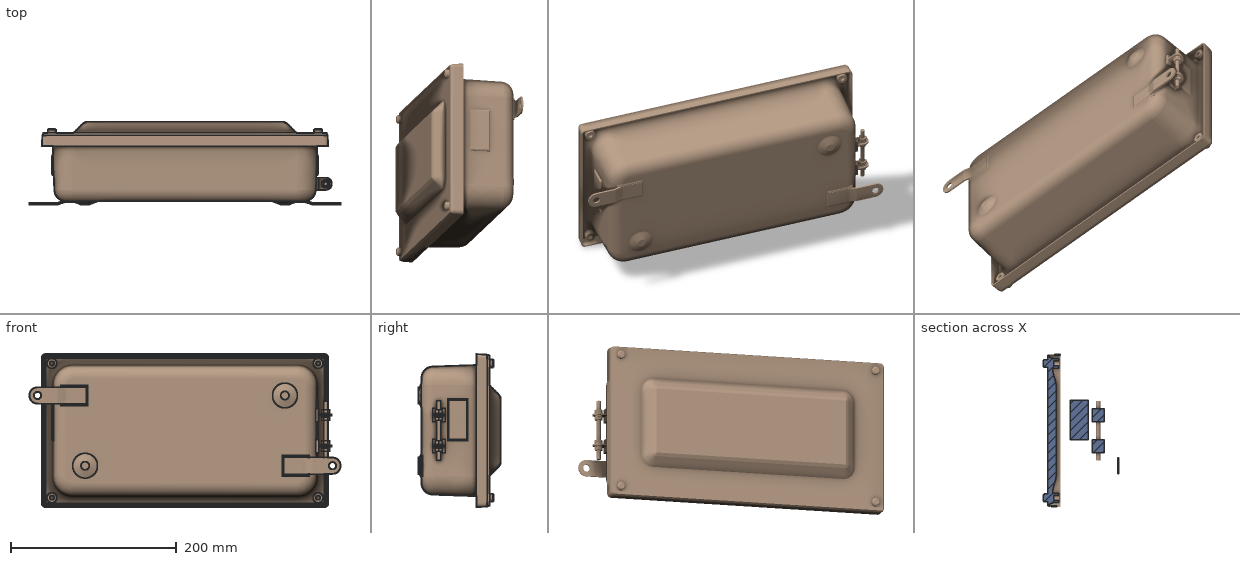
import cadquery as cq
import math

lid_length, lid_width = 346.0, 185.0
lid_front_y = 16.0
lid_corner_radius = 5.0
lid_draft = 3.0
lid_bevel_depth, lid_bevel_inset = 3.5, 1.3

rim_thickness = 1.6
recess_depth = 13.0
recess_draft = 2.0
recess_corner_radius = 4.0

flange_back_y = 9.0
flange_inset = 5.0
flange_draft = 20.0
flange_corner_radius = 2.0

panel_length, panel_width = 269.0, 109.0
panel_corner_radius = 15.0
panel_front_y = 29.5
panel_slope = 45.0
panel_edge_depth, panel_edge_inset = 2.5, 4.0

finger_notch_width = 106.0
finger_notch_height = 5.2
finger_notch_depth = 0.2

body_length, body_width = 319.6, 158.6
body_corner_radius = 24.0
body_draft = 2.0
body_back_y = -66.6
body_back_radius = 14.4
cove_radius = 7.0

lid_screw_x, lid_screw_z = 160.7, 81.1
screw_boss_diameter, screw_boss_height = 12.0, 7.0
screw_bore_diameter, screw_bore_depth = 5.3, 6.0
screw_head_diameter, screw_head_height = 10.0, 5.0
screw_head_chamfer = 1.5

strap_width, strap_thickness = 20.0, 2.0
strap_tip_x = 188.0
strap_bend_radius = 6.0
strap_hole_diameter = 8.5
strap_bend_outer_x, strap_bend_inner_x = 153.7, 144.6
strap_end_x = 119.5
strap_z = 42.4
strap_outer_y = -70.5
strap_inner_y = body_back_y - 1.0

strap_pad_width = 25.0
strap_pad_end_x, strap_pad_start_x = 117.2, 150.0
strap_pad_height, strap_pad_bevel = 0.6, 1.4

foot_diameter, foot_tip_diameter = 30.0, 10.0
foot_x = 120.6

side_pad_x = 161.0
side_pad_y, side_pad_z = -22.7, 13.0
side_pad_height, side_pad_width = 24.5, 50.4
side_pad_chamfer = 1.5

ear_x, ear_y, ear_z = 169.8, -45.5, 18.7
ear_radius, ear_thickness = 7.5, 2.0
ear_base_x = 161.4
ear_foot_width = 16.5
washer_diameter, washer_thickness = 10.0, 1.4
nut_diameter, nut_height = 10.0, 3.8
rod_diameter, rod_length = 5.0, 72.0

root_depth = 5.0
edge_margin = 1.0
nut_sides = 6


def rear_plane(y):
    """Sketch plane at depth y that extrudes toward -Y; sketch axes are X and Z."""
    return cq.Workplane(cq.Plane(origin=(0, y, 0), xDir=(1, 0, 0), normal=(0, -1, 0)))


def front_plane(y):
    """Sketch plane at depth y that extrudes toward +Y; sketch axes are X and -Z."""
    return cq.Workplane(cq.Plane(origin=(0, y, 0), xDir=(1, 0, 0), normal=(0, 1, 0)))


def drafted_block(plane, length, width, radius, height, draft):
    """Rounded rectangle extruded from the plane, its sides leaning inward by the draft angle."""
    outline = cq.Sketch().rect(length, width).vertices().fillet(radius)
    return plane.placeSketch(outline).extrude(height, taper=draft)


def make_lid():
    side_depth = lid_front_y - lid_bevel_depth
    side_inset = side_depth * math.tan(math.radians(lid_draft))
    bevel_angle = math.degrees(math.atan2(lid_bevel_inset, lid_bevel_depth))
    sides = drafted_block(front_plane(0), lid_length, lid_width, lid_corner_radius, side_depth, lid_draft)
    bevel = drafted_block(
        front_plane(side_depth),
        lid_length - 2 * side_inset,
        lid_width - 2 * side_inset,
        lid_corner_radius - side_inset,
        lid_bevel_depth,
        bevel_angle,
    )
    recess = drafted_block(
        front_plane(0),
        lid_length - 2 * rim_thickness,
        lid_width - 2 * rim_thickness,
        recess_corner_radius,
        recess_depth,
        recess_draft,
    )
    notch = cq.Workplane("XY").box(lid_length, finger_notch_height, finger_notch_width)
    notch_face_x = side_inset + finger_notch_depth - lid_length / 2
    notch = notch.translate((notch_face_x - lid_length / 2, lid_front_y - finger_notch_height / 2, 0))
    return sides.union(bevel).cut(recess).cut(notch)


def make_front_panel():
    slope_depth = panel_front_y - panel_edge_depth - lid_front_y
    slope = drafted_block(
        front_plane(lid_front_y), panel_length, panel_width, panel_corner_radius, slope_depth, panel_slope
    )
    edge = drafted_block(
        front_plane(lid_front_y + slope_depth),
        panel_length - 2 * slope_depth,
        panel_width - 2 * slope_depth,
        panel_corner_radius - slope_depth,
        panel_edge_depth,
        math.degrees(math.atan2(panel_edge_inset, panel_edge_depth)),
    )
    return slope.union(edge)


def make_flange():
    """Flange of the body, sitting in the lid recess with a groove left around it."""
    height = recess_depth - flange_back_y
    flare = height * math.tan(math.radians(flange_draft))
    return drafted_block(
        rear_plane(recess_depth),
        lid_length - 2 * flange_inset + 2 * flare,
        lid_width - 2 * flange_inset + 2 * flare,
        flange_corner_radius + flare,
        height,
        flange_draft,
    )


def make_body():
    flare = flange_back_y * math.tan(math.radians(body_draft))
    body = drafted_block(
        rear_plane(flange_back_y),
        body_length + 2 * flare,
        body_width + 2 * flare,
        body_corner_radius + flare,
        flange_back_y - body_back_y,
        body_draft,
    )
    return body.faces("<Y").edges().fillet(body_back_radius)


def add_cove(shell):
    """Round the corner where the body meets the back of its flange."""
    half_length = body_length / 2 + edge_margin
    half_width = body_width / 2 + edge_margin
    flange_band = cq.selectors.BoxSelector(
        (-half_length, flange_back_y - edge_margin, -half_width),
        (half_length, flange_back_y + edge_margin, half_width),
    )
    return shell.edges(flange_band).fillet(cove_radius)


def make_lid_screw(x, z):
    """Boss on the back of the flange plus the screw head on the front of the lid."""
    boss = rear_plane(flange_back_y).center(x, z).circle(screw_boss_diameter / 2).extrude(screw_boss_height)
    head = front_plane(lid_front_y).center(x, -z).circle(screw_head_diameter / 2).extrude(screw_head_height)
    return boss.union(head.faces(">Y").chamfer(screw_head_chamfer))


def make_lid_screw_bore(x, z):
    mouth = rear_plane(flange_back_y - screw_boss_height).center(x, z)
    return mouth.circle(screw_bore_diameter / 2).extrude(-screw_bore_depth)


def make_strap():
    """Cranked mounting strap at the +X end, with the raised pad it leaves the body from."""
    hole_x = strap_tip_x - strap_width / 2
    strap = (
        cq.Workplane("XY")
        .moveTo(hole_x, strap_outer_y)
        .lineTo(strap_bend_outer_x, strap_outer_y)
        .lineTo(strap_bend_inner_x, strap_inner_y)
        .lineTo(strap_end_x, strap_inner_y)
        .lineTo(strap_end_x, strap_inner_y + strap_thickness)
        .lineTo(strap_bend_inner_x, strap_inner_y + strap_thickness)
        .lineTo(strap_bend_outer_x, strap_outer_y + strap_thickness)
        .lineTo(hole_x, strap_outer_y + strap_thickness)
        .close()
        .extrude(strap_width / 2, both=True)
    )
    bend_band = cq.selectors.BoxSelector(
        (strap_bend_inner_x - edge_margin, strap_outer_y, -strap_width),
        (strap_bend_inner_x + edge_margin, body_back_y + root_depth, strap_width),
    )
    strap = strap.edges(bend_band).fillet(strap_bend_radius)
    tip = rear_plane(strap_outer_y + strap_thickness).center(hole_x, 0)
    strap = strap.union(tip.circle(strap_width / 2).extrude(strap_thickness))
    hole = rear_plane(0).center(hole_x, 0).circle(strap_hole_diameter / 2).extrude(-strap_outer_y)
    pad_middle_x = (strap_pad_end_x + strap_pad_start_x) / 2
    pad_length = strap_pad_start_x - strap_pad_end_x
    pad_root = rear_plane(body_back_y + root_depth).center(pad_middle_x, 0)
    pad_root = pad_root.rect(pad_length, strap_pad_width).extrude(root_depth)
    bevel_angle = math.degrees(math.atan2(strap_pad_bevel, strap_pad_height))
    pad_top = rear_plane(body_back_y).center(pad_middle_x, 0)
    pad_top = pad_top.rect(pad_length, strap_pad_width).extrude(strap_pad_height, taper=bevel_angle)
    pad = pad_root.union(pad_top)
    return strap.cut(hole).union(pad).translate((0, 0, -strap_z))


def make_foot():
    """Conical foot on the back, as deep as the straps."""
    height = body_back_y - strap_outer_y
    slope_angle = math.degrees(math.atan2((foot_diameter - foot_tip_diameter) / 2, height))
    root = rear_plane(body_back_y + root_depth).circle(foot_diameter / 2).extrude(root_depth)
    cone = rear_plane(body_back_y).circle(foot_diameter / 2).extrude(height, taper=slope_angle)
    return root.union(cone).translate((foot_x, 0, strap_z))


def make_side_pad():
    """Rectangular raised pad on the +X end wall of the body."""
    pad = cq.Workplane("XY").box(2 * root_depth, side_pad_height, side_pad_width)
    pad = pad.faces(">X").chamfer(side_pad_chamfer)
    return pad.translate((side_pad_x - root_depth, side_pad_y, side_pad_z))


def make_hinge():
    """Two footed ears at the +X end, joined by a rod with a washer and nut on both sides of each ear."""
    root_x = body_length / 2 - root_depth
    rod = cq.Workplane("XY").center(ear_x, ear_y).circle(rod_diameter / 2)
    hinge = rod.extrude(rod_length / 2, both=True)
    washer_reach = ear_thickness / 2 + washer_thickness
    nut_reach = washer_reach + nut_height
    for z in (-ear_z, ear_z):
        level = cq.Workplane("XY", origin=(ear_x, ear_y, z))
        eye = level.circle(ear_radius).extrude(ear_thickness / 2, both=True)
        arm = cq.Workplane("XY").box(ear_x - root_x, 2 * ear_radius, ear_thickness)
        arm = arm.translate(((ear_x + root_x) / 2, ear_y, z))
        foot = cq.Workplane("XY").box(ear_base_x - root_x, 2 * ear_radius, ear_foot_width)
        foot = foot.translate(((ear_base_x + root_x) / 2, ear_y, z))
        washers = level.circle(washer_diameter / 2).extrude(washer_reach, both=True)
        nuts = level.polygon(nut_sides, nut_diameter).extrude(nut_reach, both=True)
        hinge = hinge.union(eye).union(arm).union(foot).union(washers).union(nuts)
    return hinge


def half_turn(piece):
    """The same piece turned half round the Y axis."""
    return piece.rotate((0, 0, 0), (0, 1, 0), 180)


shell = add_cove(make_lid().union(make_flange()).union(make_body())).union(make_front_panel())

for x in (-lid_screw_x, lid_screw_x):
    for z in (-lid_screw_z, lid_screw_z):
        shell = shell.union(make_lid_screw(x, z)).cut(make_lid_screw_bore(x, z))

for piece in (make_strap(), make_foot()):
    shell = shell.union(piece).union(half_turn(piece))

side_pad = make_side_pad()
shell = shell.union(side_pad).union(side_pad.mirror("YZ"))

result = shell.union(make_hinge())